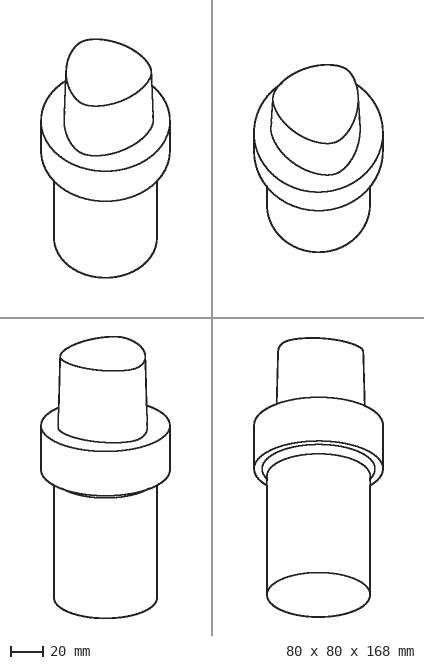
import cadquery as cq
import math

flange_diameter = 79.98
flange_height = 30.0
relief_height = 5.0
relief_top_diameter = 70.0

body_diameter = 64.0
end_cone_height = 3.5
end_face_diameter = 37.0

shank_height = 48.0
shank_base_width = 55.3
shank_taper = 1 / 20
lobe_eccentricity = 2.0
outline_points = 72

total_height = 168.0
flange_top = total_height - shank_height
flange_bottom = flange_top - flange_height
body_top = flange_bottom - relief_height
shank_top_width = shank_base_width - shank_taper * shank_height


def turned_holder():
    """Flange, relief cone, body and end cone, revolved about Z."""
    return (
        cq.Workplane("XZ")
        .moveTo(0, 0)
        .lineTo(end_face_diameter / 2, 0)
        .lineTo(body_diameter / 2, end_cone_height)
        .lineTo(body_diameter / 2, body_top)
        .lineTo(relief_top_diameter / 2, flange_bottom)
        .lineTo(flange_diameter / 2, flange_bottom)
        .lineTo(flange_diameter / 2, flange_top)
        .lineTo(0, flange_top)
        .close()
        .revolve(360, (0, 0), (0, 1))
    )


def polygon_point(width, angle):
    """Point on a constant-width three-lobed curve, flattest toward +Y with a lobe toward -Y."""
    e = lobe_eccentricity
    along = width / 2 * math.cos(angle) - 2 * e * math.cos(2 * angle) + e * math.cos(4 * angle)
    across = width / 2 * math.sin(angle) + 2 * e * math.sin(2 * angle) + e * math.sin(4 * angle)
    return across, along


def polygon_outline(width):
    """Points around one full turn of the lobed curve."""
    step = 2 * math.pi / outline_points
    return [polygon_point(width, i * step) for i in range(outline_points)]


def polygon_shank():
    """Loft between the base and top outlines of the tapered shank."""
    return (
        cq.Workplane("XY", origin=(0, 0, flange_top))
        .spline(polygon_outline(shank_base_width), periodic=True)
        .close()
        .workplane(offset=shank_height)
        .spline(polygon_outline(shank_top_width), periodic=True)
        .close()
        .loft(ruled=True)
    )


result = turned_holder().union(polygon_shank())